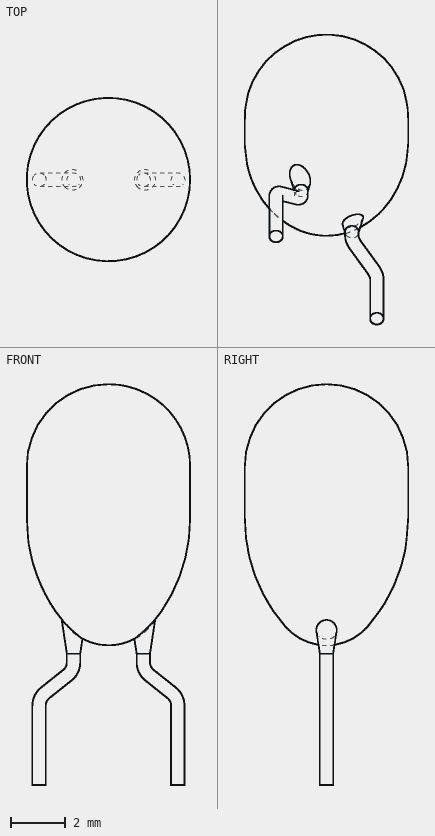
import cadquery as cq
import math

total_height = 14.7
body_radius = 3.0
band_bottom_z = 9.76
flank_radius = 2 * body_radius
cap_radius = 2.0

wire_radius = 0.25
foot_offset = 2.55
neck_offset = 1.28
leg_top_z = 2.91
neck_bottom_z = 4.5
lead_top_z = 4.82
bend_radius = 0.6

collar_top_radius = 0.5
collar_top_z = 6.47

band_top_z = total_height - body_radius
flank_center_x = body_radius - flank_radius
center_distance = flank_radius - cap_radius
cap_center_z = band_bottom_z - math.sqrt(center_distance**2 - flank_center_x**2)
flank_angle = math.acos(-flank_center_x / center_distance)


def arc_point(center_x, center_z, radius, angle):
    """Point on an arc, with the angle measured downward from +X."""
    return (center_x + radius * math.cos(angle), center_z - radius * math.sin(angle))


def make_body():
    """Drop-shaped body revolved about Z."""
    dome_mid = arc_point(0, band_top_z, body_radius, -math.pi / 4)
    flank_mid = arc_point(flank_center_x, band_bottom_z, flank_radius, flank_angle / 2)
    flank_end = arc_point(0, cap_center_z, cap_radius, flank_angle)
    cap_mid = arc_point(0, cap_center_z, cap_radius, (flank_angle + math.pi / 2) / 2)
    return (
        cq.Workplane("XZ")
        .moveTo(0, total_height)
        .threePointArc(dome_mid, (body_radius, band_top_z))
        .lineTo(body_radius, band_bottom_z)
        .threePointArc(flank_mid, flank_end)
        .threePointArc(cap_mid, (0, cap_center_z - cap_radius))
        .close()
        .revolve(360, (0, 0, 0), (0, 1, 0))
    )


def make_collar(side, body):
    """Tapered collar around the lead exit, trimmed to the body surface."""
    height = collar_top_z - lead_top_z
    cone = cq.Solid.makeCone(
        wire_radius, collar_top_radius, height, cq.Vector(side * neck_offset, 0, lead_top_z)
    )
    return cq.Workplane(cone).cut(body)


def make_lead(side):
    """Round wire with two equal and opposite bends joined by a straight slope."""
    run = foot_offset - neck_offset
    rise = neck_bottom_z - leg_top_z
    slope_length = math.sqrt(run**2 + rise**2 - 4 * bend_radius * run)
    turn = math.atan2(2 * bend_radius, slope_length) + math.atan2(run - 2 * bend_radius, rise)

    def lower_bend(angle):
        x, z = arc_point(foot_offset - bend_radius, leg_top_z, bend_radius, -angle)
        return (side * x, z)

    def upper_bend(angle):
        x, z = arc_point(neck_offset + bend_radius, neck_bottom_z, bend_radius, math.pi - angle)
        return (side * x, z)

    path = (
        cq.Workplane("XZ")
        .moveTo(side * foot_offset, 0)
        .lineTo(side * foot_offset, leg_top_z)
        .threePointArc(lower_bend(turn / 2), lower_bend(turn))
        .lineTo(*upper_bend(turn))
        .threePointArc(upper_bend(turn / 2), (side * neck_offset, neck_bottom_z))
        .lineTo(side * neck_offset, lead_top_z)
    )
    return cq.Workplane("XY").center(side * foot_offset, 0).circle(wire_radius).sweep(path)


body = make_body()
sides = (-1, 1)
collars = [make_collar(side, body).val() for side in sides]
leads = [make_lead(side).val() for side in sides]

result = cq.Compound.makeCompound([body.val(), *collars, *leads])